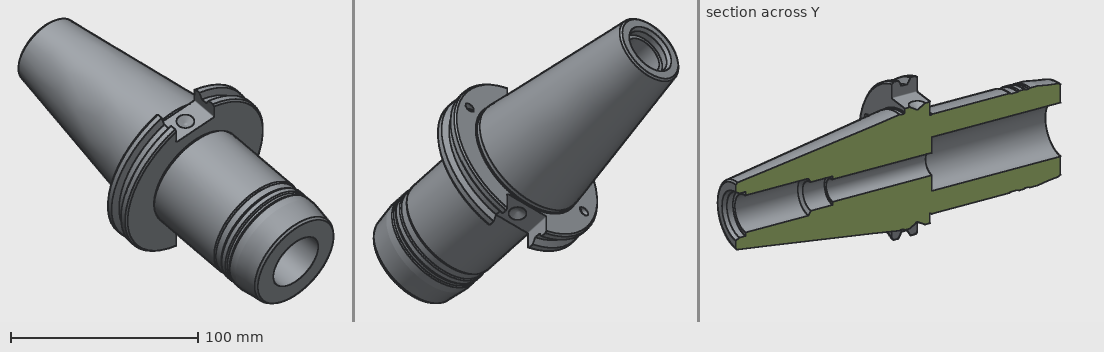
import cadquery as cq
import math

gauge_radius = 69.85 / 2
taper_length = 101.6
taper_ratio = 7 / 24
shank_end_radius = gauge_radius - taper_length * taper_ratio / 2
shank_edge_chamfer = 1.0
relief_radius = 69.25 / 2
relief_start = 1.1
relief_corner = 0.6

flange_radius = 98.425 / 2
flange_start = 3.175
flange_end = 19.05
flange_chamfer = 1.0
v_groove_center = 11.0
v_groove_depth = 3.5
v_groove_floor_width = 3.5
v_groove_half_angle = 30
v_groove_mouth_width = (
    v_groove_floor_width + 2 * v_groove_depth * math.tan(math.radians(v_groove_half_angle))
)

nose_radius = 60 / 2
nose_length = 100.0
nose_step_radius = 59 / 2
nose_step_end = 20.0
nose_groove_radius = 59 / 2
nose_groove_spans = [(68.0, 74.2), (77.1, 80.8)]
nose_groove_wall = 1.0
nose_taper_start = 85.5
nose_taper_angle = 8.5
nose_tip_length = 1.5
nose_tip_drop = 1.0

slot_width = 26.86
slot_corner_radius = 0.7
slot_floor_upper = 37.7
slot_floor_lower = 35.3
dimple_diameter = 9.53
drill_point_angle = 118

through_radius = 13.2 / 2
thread_mouth_radius = 28.8 / 2
thread_relief_radius = 26.2 / 2
thread_radius = 21.97 / 2
drill_radius = 16.92 / 2
mouth_half_angle = 30
mouth_depth = (thread_mouth_radius - thread_relief_radius) / math.tan(math.radians(mouth_half_angle))
thread_relief_depth = 6.0
thread_depth = 45.0
drill_cone_length = (thread_radius - drill_radius) / math.tan(math.radians(drill_point_angle / 2))
drill_depth = 60.0
clamp_bore_radius = 32 / 2
clamp_bore_depth = 80.0

coolant_diameter = 5.0
coolant_pitch_radius = 41.7
coolant_angle = 20
coolant_tilt = 30
coolant_depth = 2.5


def revolve_about_x(points):
    """Solid of revolution from (x, radius) points that start and end on the X axis."""
    return cq.Workplane("XY").polyline(points).close().revolve(360, (0, 0, 0), (1, 0, 0))


def make_body():
    floor_radius = flange_radius - v_groove_depth
    tip_x = nose_length - nose_tip_length
    tip_radius = nose_radius - (tip_x - nose_taper_start) * math.tan(math.radians(nose_taper_angle))
    points = [
        (-taper_length, 0),
        (-taper_length, shank_end_radius - shank_edge_chamfer),
        (-taper_length + shank_edge_chamfer, shank_end_radius + shank_edge_chamfer * taper_ratio / 2),
        (0, gauge_radius),
        (relief_start, relief_radius),
        (flange_start - relief_corner, relief_radius),
        (flange_start, relief_radius + relief_corner),
        (flange_start, flange_radius - flange_chamfer),
        (flange_start + flange_chamfer, flange_radius),
        (v_groove_center - v_groove_mouth_width / 2, flange_radius),
        (v_groove_center - v_groove_floor_width / 2, floor_radius),
        (v_groove_center + v_groove_floor_width / 2, floor_radius),
        (v_groove_center + v_groove_mouth_width / 2, flange_radius),
        (flange_end - flange_chamfer, flange_radius),
        (flange_end, flange_radius - flange_chamfer),
        (flange_end, nose_step_radius),
        (nose_step_end, nose_radius),
    ]
    for start, end in nose_groove_spans:
        points += [
            (start, nose_radius),
            (start + nose_groove_wall, nose_groove_radius),
            (end - nose_groove_wall, nose_groove_radius),
            (end, nose_radius),
        ]
    points += [
        (nose_taper_start, nose_radius),
        (tip_x, tip_radius),
        (nose_length, tip_radius - nose_tip_drop),
        (nose_length, 0),
    ]
    return revolve_about_x(points)


def make_bore():
    face = -taper_length
    return revolve_about_x([
        (face, 0),
        (face, thread_mouth_radius),
        (face + mouth_depth, thread_relief_radius),
        (face + thread_relief_depth, thread_relief_radius),
        (face + thread_relief_depth, thread_radius),
        (face + thread_depth, thread_radius),
        (face + thread_depth + drill_cone_length, drill_radius),
        (face + drill_depth, drill_radius),
        (face + drill_depth, through_radius),
        (nose_length - clamp_bore_depth, through_radius),
        (nose_length - clamp_bore_depth, clamp_bore_radius),
        (nose_length, clamp_bore_radius),
        (nose_length, 0),
    ])


def make_slot(floor, direction):
    length = flange_end - flange_start
    height = flange_radius
    center = ((flange_start + flange_end) / 2, 0, direction * (floor + height / 2))
    floor_side = "<Z" if direction > 0 else ">Z"
    block = cq.Workplane("XY").box(length, slot_width, height)
    return block.faces(floor_side).edges("|X").fillet(slot_corner_radius).translate(center)


def drill_point(diameter, center, direction):
    """Conical hole bottom left by a drill, with its base at center."""
    length = diameter / 2 / math.tan(math.radians(drill_point_angle / 2))
    return cq.Workplane(cq.Solid.makeCone(diameter / 2, 0, length, center, direction))


def make_dimple(floor, direction):
    center = cq.Vector((flange_start + flange_end) / 2, 0, direction * floor)
    return drill_point(dimple_diameter, center, cq.Vector(0, 0, -direction))


def make_coolant_hole(angle):
    """Blind drilled hole that enters the flange face and leans toward the axis."""
    outward = cq.Vector(0, math.cos(math.radians(angle)), math.sin(math.radians(angle)))
    tilt = math.radians(coolant_tilt)
    direction = cq.Vector(math.cos(tilt), 0, 0) - outward * math.sin(tilt)
    mouth = cq.Vector(flange_start, 0, 0) + outward * coolant_pitch_radius
    bottom = mouth + direction * coolant_depth
    start = mouth - direction * coolant_diameter
    length = coolant_depth + coolant_diameter
    barrel = cq.Workplane(cq.Solid.makeCylinder(coolant_diameter / 2, length, start, direction))
    return barrel.union(drill_point(coolant_diameter, bottom, direction))


result = make_body().cut(make_bore())
for floor, direction in ((slot_floor_upper, 1), (slot_floor_lower, -1)):
    result = result.cut(make_slot(floor, direction))
    result = result.cut(make_dimple(floor, direction))
for angle in (coolant_angle, coolant_angle + 180):
    result = result.cut(make_coolant_hole(angle))